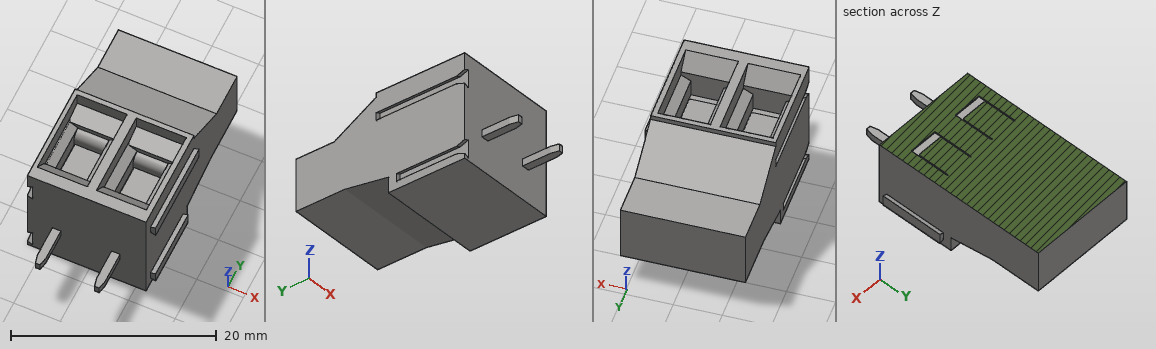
import cadquery as cq

body_width = 12.75
overall_length = 25.4
pin_length = 4.4
body_length = overall_length - pin_length
body_height = 12.5

nose_bottom = 2.77
nose_top = 8.97
roof_foot_y = 16.25
roof_head_y = 11.02
roof_head_z = 12.0
belly_foot_y = 14.94
belly_head_y = 9.5
belly_head_z = 1.85

pitch = 6.35
first_pole_x = 3.15
pole_centers = [first_pole_x, first_pole_x + pitch]

pocket_width = 5.35
pocket_front = 1.3
pocket_back = 10.5
well_width = 3.35
well_front = 2.85
well_back = 8.5
well_floor = 8.13
front_ramp_foot_z = body_height - (well_front - pocket_front)
back_ramp_head_z = 10.97
back_ramp_foot_z = 10.5
side_ramp_head_z = 10.57
side_ramp_foot_z = 10.0

block_front = 7.6
block_top = 9.93
block_round = 0.85
pad_width = 3.23
pad_front = 3.68
pad_height = 0.25
pad_corner = 0.25

dovetail_depth = 0.55
dovetail_neck = 0.9
dovetail_head = 1.35
dovetail_front = 1.02
upper_dovetail_z = 9.7
lower_dovetail_z = 1.4
upper_dovetail_back = 11.02
lower_dovetail_back = 8.5
dovetails = [(upper_dovetail_z, upper_dovetail_back), (lower_dovetail_z, lower_dovetail_back)]
mouth_flare = 0.38

pin_width = 0.91
pin_height = 0.85
pin_z = 4.4
pin_tip_width = 0.5
pin_tip_length = 0.91
pin_root = 0.5


def box_between(x_range, y_range, z_range):
    """Box given by its lower and upper limits along each axis."""
    sizes = [high - low for low, high in (x_range, y_range, z_range)]
    corner = (x_range[0], y_range[0], z_range[0])
    return cq.Workplane("XY").box(*sizes, centered=False).translate(corner)


def centered_range(center, width):
    return (center - width / 2, center + width / 2)


def extrude_side_profile(points, x_range):
    """Prism with the given (Y, Z) outline between two X positions."""
    low, high = x_range
    return cq.Workplane("YZ").workplane(offset=low).polyline(points).close().extrude(high - low)


def housing():
    outline = [
        (0, 0),
        (belly_head_y, 0),
        (belly_head_y, belly_head_z),
        (belly_foot_y, nose_bottom),
        (body_length, nose_bottom),
        (body_length, nose_top),
        (roof_foot_y, nose_top),
        (roof_head_y, roof_head_z),
        (roof_head_y, body_height),
        (0, body_height),
    ]
    return extrude_side_profile(outline, (0, body_width))


def screw_pocket(center):
    """Space removed for one pole: a ramped pocket above a narrower well."""
    ramped_outline = [
        (pocket_front, body_height),
        (well_front, front_ramp_foot_z),
        (well_front, well_floor),
        (well_back, well_floor),
        (well_back, back_ramp_foot_z),
        (pocket_back, back_ramp_head_z),
        (pocket_back, body_height),
    ]
    ramped = extrude_side_profile(ramped_outline, centered_range(center, pocket_width))

    half_pocket = pocket_width / 2
    half_well = well_width / 2
    cross_section = [
        (center - half_pocket, body_height),
        (center - half_pocket, side_ramp_head_z),
        (center - half_well, side_ramp_foot_z),
        (center - half_well, well_floor),
        (center + half_well, well_floor),
        (center + half_well, side_ramp_foot_z),
        (center + half_pocket, side_ramp_head_z),
        (center + half_pocket, body_height),
    ]
    funnel = cq.Workplane("XZ").polyline(cross_section).close().extrude(-body_length)
    return ramped.intersect(funnel)


def contact_pad(center):
    """Low pad on the well floor in front of the clamp block."""
    pad = box_between(
        centered_range(center, pad_width),
        (pad_front, block_front),
        (well_floor, well_floor + pad_height),
    )
    return pad.edges("|Z and <Y").fillet(pad_corner)


def clamp_block(center):
    """Block against the back of the well, its top front edge fully rounded."""
    block = box_between(
        centered_range(center, well_width),
        (block_front, well_back),
        (well_floor, block_top),
    )
    return block.edges("|X and >Z and <Y").fillet(block_round)


def dovetail_section(x_start, z_center, flare=0):
    """(X, Z) corners of a dovetail that widens towards +X, grown by flare at both sides."""
    half_neck = dovetail_neck / 2 + flare
    half_head = dovetail_head / 2 + flare
    x_end = x_start + dovetail_depth
    return [
        (x_start, z_center - half_neck),
        (x_end, z_center - half_head),
        (x_end, z_center + half_head),
        (x_start, z_center + half_neck),
    ]


def dovetail_bar(x_start, z_center, y_range):
    front, back = y_range
    plane = cq.Workplane("XZ", origin=(0, front, 0))
    return plane.polyline(dovetail_section(x_start, z_center)).close().extrude(front - back)


def dovetail_mouth(z_center):
    """Flared entry of a groove, narrowing from the front face to the groove."""
    return (
        cq.Workplane("XZ")
        .polyline(dovetail_section(0, z_center, mouth_flare))
        .close()
        .workplane(offset=-dovetail_front)
        .polyline(dovetail_section(0, z_center))
        .close()
        .loft(ruled=True)
    )


def solder_pin(center):
    half_width = pin_width / 2
    half_tip = pin_tip_width / 2
    taper_y = pin_tip_length - pin_length
    outline = [
        (center - half_width, pin_root),
        (center - half_width, taper_y),
        (center - half_tip, -pin_length),
        (center + half_tip, -pin_length),
        (center + half_width, taper_y),
        (center + half_width, pin_root),
    ]
    bottom = pin_z - pin_height / 2
    return cq.Workplane("XY").workplane(offset=bottom).polyline(outline).close().extrude(pin_height)


result = housing()
for pole_x in pole_centers:
    result = result.cut(screw_pocket(pole_x))
    result = result.union(clamp_block(pole_x)).union(contact_pad(pole_x))
    result = result.union(solder_pin(pole_x))
for dovetail_z, dovetail_back in dovetails:
    result = result.cut(dovetail_bar(0, dovetail_z, (0, dovetail_back)))
    result = result.cut(dovetail_mouth(dovetail_z))
    result = result.union(dovetail_bar(body_width, dovetail_z, (dovetail_front, dovetail_back)))